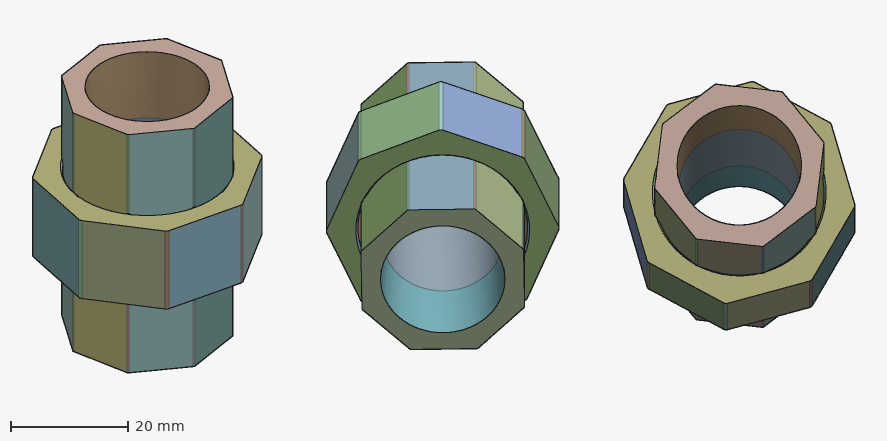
import cadquery as cq
import math

NUT_WIDTH = 36.9
NUT_HEIGHT = 16.1
NUT_EDGE_RADIUS = 0.95

SIDES = 8
CORNER_ANGLE = math.pi / SIDES
BODY_LENGTH = 49.2
BODY_DIAMETER = 30.0
BODY_EDGE_RADIUS = 0.5
SOCKET_DIAMETER = 21.25
BORE_DIAMETER = 20.65
SOCKET_DEPTH = 13.5

FIT_DIAMETER = 29.05
NUT_MOUTH_DIAMETER = 29.7
LEAD_IN = 0.7


def octagonal_bar(width, edge_radius, height):
    """Octagonal bar centred on the origin, with corners on the X and Y axes."""
    corner_diameter = width / math.cos(CORNER_ANGLE)
    bar = cq.Workplane("XY", origin=(0, 0, -height / 2)).polygon(SIDES, corner_diameter).extrude(height)
    return bar.edges("|Z").fillet(edge_radius)


def revolve_profile(points):
    """Turn a closed outline of (radius, z) points about the Z axis."""
    return cq.Workplane("XZ").polyline(points).close().revolve(360, (0, 0, 0), (0, 1, 0))


def make_nut():
    """Octagonal nut, flats facing X and Y, with a bore that has a conical lead-in at each end."""
    fit_radius = FIT_DIAMETER / 2
    mouth_radius = NUT_MOUTH_DIAMETER / 2
    nut_top = NUT_HEIGHT / 2
    fit_top = nut_top - LEAD_IN
    bore = revolve_profile([
        (0, -nut_top),
        (mouth_radius, -nut_top),
        (fit_radius, -fit_top),
        (fit_radius, fit_top),
        (mouth_radius, nut_top),
        (0, nut_top),
    ])
    bar = octagonal_bar(NUT_WIDTH, NUT_EDGE_RADIUS, NUT_HEIGHT)
    return bar.rotate((0, 0, 0), (0, 0, 1), math.degrees(CORNER_ANGLE)).cut(bore)


def corner_relief():
    """Ring that turns the octagon corners down to the nut bore and its lead-in cones."""
    fit_radius = FIT_DIAMETER / 2
    outer_radius = NUT_WIDTH / 2
    fit_top = NUT_HEIGHT / 2 - LEAD_IN
    cone_slope = LEAD_IN / (NUT_MOUTH_DIAMETER / 2 - fit_radius)
    outer_top = fit_top + cone_slope * (outer_radius - fit_radius)
    return revolve_profile([
        (fit_radius, -fit_top),
        (outer_radius, -outer_top),
        (outer_radius, outer_top),
        (fit_radius, fit_top),
    ])


def body_passage():
    """Through bore with a socket tapering inward from each end."""
    mouth_radius = SOCKET_DIAMETER / 2
    bore_radius = BORE_DIAMETER / 2
    end = BODY_LENGTH / 2
    socket_floor = end - SOCKET_DEPTH
    return revolve_profile([
        (0, -end),
        (mouth_radius, -end),
        (bore_radius, -socket_floor),
        (bore_radius, socket_floor),
        (mouth_radius, end),
        (0, end),
    ])


def make_body():
    """Octagonal pipe running through the nut."""
    rounding_loss = BODY_EDGE_RADIUS * (1 / math.cos(CORNER_ANGLE) - 1)
    width = (BODY_DIAMETER + 2 * rounding_loss) * math.cos(CORNER_ANGLE)
    bar = octagonal_bar(width, BODY_EDGE_RADIUS, BODY_LENGTH)
    return bar.cut(corner_relief()).cut(body_passage())


nut = make_nut()
body = make_body()
result = cq.Compound.makeCompound([nut.val(), body.val()])